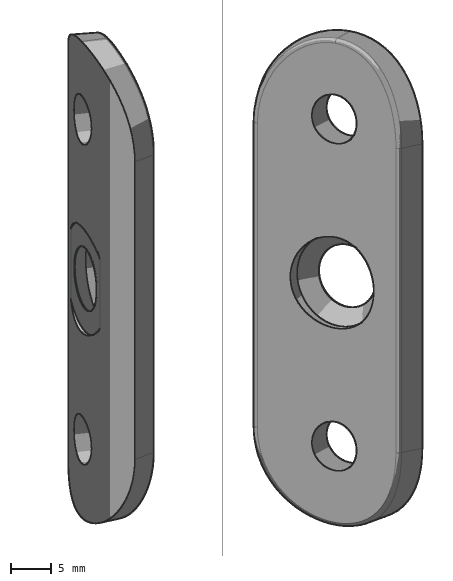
import cadquery as cq
import math

length = 64.0
width = 24.0
outer_radius = 27.7
thickness = 3.7
back_edge_round = 0.5

screw_hole_diameter = 6.4
screw_hole_spacing = 43.0

seat_diameter = 14.2
seat_depth = 0.5
centre_hole_diameter = 8.2
lip_thickness = 0.1
flare_length = 2.1
rear_bore_diameter = 12.0

cut_clearance = 3.2

bend_angle = 2 * math.asin(width / 2 / outer_radius)
sagitta = outer_radius * (1 - math.cos(bend_angle / 2))
front = -cut_clearance
back = sagitta + thickness + cut_clearance


def flat_outline():
    """Face with straight sides and semicircular ends, each end made of two quarter arcs."""
    radius = width / 2
    straight = length / 2 - radius
    diagonal = radius * math.sqrt(0.5)
    boundary = (
        cq.Workplane("XY")
        .moveTo(radius, -straight)
        .lineTo(radius, straight)
        .threePointArc((diagonal, straight + diagonal), (0, length / 2))
        .threePointArc((-diagonal, straight + diagonal), (-radius, straight))
        .lineTo(-radius, -straight)
        .threePointArc((-diagonal, -straight - diagonal), (0, -length / 2))
        .threePointArc((diagonal, -straight - diagonal), (radius, -straight))
        .close()
    )
    return cq.Face.makeFromWires(boundary.val())


def curved_plate():
    """Outline wrapped on the convex cylinder, then thickened toward the bend axis."""
    cylinder = cq.Solid.makeCylinder(outer_radius, length)
    convex_surface = cq.Workplane(cylinder).faces("%CYLINDER").val()
    front_angle = 1.5 * math.pi
    to_surface = cq.Matrix([
        [bend_angle / width, 0, 0, front_angle],
        [0, 1, 0, length / 2],
        [0, 0, 1, 0],
    ])
    outline = flat_outline().transformGeometry(to_surface)
    wrapped = cq.occ_impl.shapes.faceOn(convex_surface, outline)
    plate = cq.Workplane(wrapped.thicken(-thickness))
    return plate.translate((0, outer_radius, -length / 2))


def bore(diameter, end, z=0):
    """Cylinder parallel to Y, from in front of the plate back to Y = end."""
    return (
        cq.Workplane("XZ", origin=(0, front, z))
        .circle(diameter / 2)
        .extrude(front - end)
    )


def flared_rear_bore():
    """Cone behind the lip, opening into a cylinder that leaves through the back."""
    flare_start = seat_depth + lip_thickness
    flare_end = flare_start + flare_length
    half_profile = (
        cq.Workplane("XY")
        .moveTo(0, flare_start)
        .lineTo(centre_hole_diameter / 2, flare_start)
        .lineTo(rear_bore_diameter / 2, flare_end)
        .lineTo(rear_bore_diameter / 2, back)
        .lineTo(0, back)
        .close()
    )
    return half_profile.revolve(360, (0, 0, 0), (0, 1, 0))


plate = curved_plate()
concave_face = plate.faces("%CYLINDER").sort(lambda face: face.Area())[0]
plate = concave_face.edges().fillet(back_edge_round)

for z in (-screw_hole_spacing / 2, screw_hole_spacing / 2):
    plate = plate.cut(bore(screw_hole_diameter, back, z))

plate = plate.cut(bore(seat_diameter, seat_depth))
plate = plate.cut(bore(centre_hole_diameter, back))
plate = plate.cut(flared_rear_bore())

result = plate